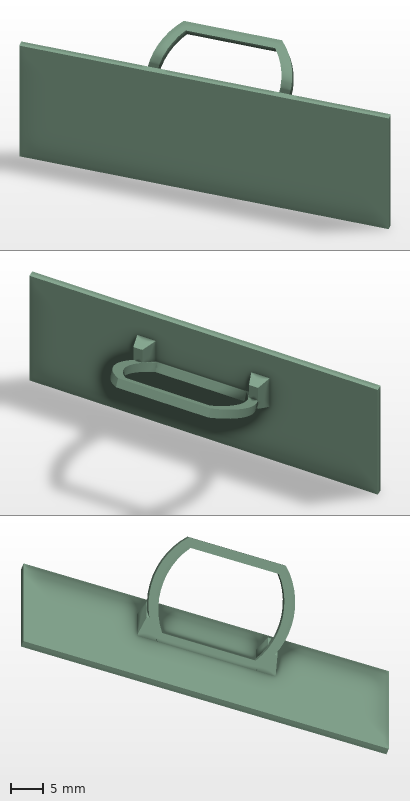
import cadquery as cq
import math

plate_length = 60.0
plate_height = 22.0
plate_thickness = 1.1
total_depth = 15.7

tilt = 30.0
loop_thickness = 1.5
loop_reach = (total_depth - plate_thickness) / math.cos(math.radians(tilt))
bar_width = 1.5
outer_half_width = 11.5
outer_end_half_width = 8.0
inner_half_width = 9.85
inner_near_half_width = 7.7
inner_far_half_width = 7.25

foot_depth = 2.75
foot_height = 6.0
foot_base_inner = 8.2
foot_base_outer = 11.4
foot_tip_inner = 9.2
foot_tip_outer = 10.75


def bowed_outline(plane, start, end, near_half_width, middle_half_width, far_half_width):
    """Outline with straight ends and outward-bowed sides."""
    middle = (start + end) / 2
    return (
        cq.Workplane(plane)
        .moveTo(-near_half_width, start)
        .lineTo(near_half_width, start)
        .threePointArc((middle_half_width, middle), (far_half_width, end))
        .lineTo(-far_half_width, end)
        .threePointArc((-middle_half_width, middle), (-near_half_width, start))
        .close()
    )


def make_plate():
    return cq.Workplane("XY").box(
        plate_length, plate_thickness, plate_height, centered=(True, False, True)
    )


def make_loop(plane):
    outer = bowed_outline(
        plane, 0, loop_reach, outer_end_half_width, outer_half_width, outer_end_half_width
    )
    opening = bowed_outline(
        plane,
        bar_width,
        loop_reach - bar_width,
        inner_near_half_width,
        inner_half_width,
        inner_far_half_width,
    )
    return outer.extrude(loop_thickness).cut(opening.extrude(loop_thickness))


def make_foot(side):
    """Foot on one side (-1 or 1), with its underside flush with the loop."""
    tip_y = plate_thickness + foot_depth
    taper = (
        cq.Workplane("XY")
        .polyline([
            (side * foot_base_inner, plate_thickness),
            (side * foot_base_outer, plate_thickness),
            (side * foot_tip_outer, tip_y),
            (side * foot_tip_inner, tip_y),
        ])
        .close()
        .extrude(foot_height)
    )
    tip_z = foot_depth * math.tan(math.radians(tilt))
    side_profile = (
        cq.Workplane("YZ")
        .polyline([
            (plate_thickness, 0),
            (tip_y, tip_z),
            (tip_y, foot_height),
            (plate_thickness, foot_height),
        ])
        .close()
        .extrude(foot_base_outer, both=True)
    )
    return taper.intersect(side_profile)


loop_plane = cq.Plane(origin=(0, plate_thickness, 0)).rotated((tilt, 0, 0))

result = make_plate().union(make_loop(loop_plane))
for foot_side in (-1, 1):
    result = result.union(make_foot(foot_side))